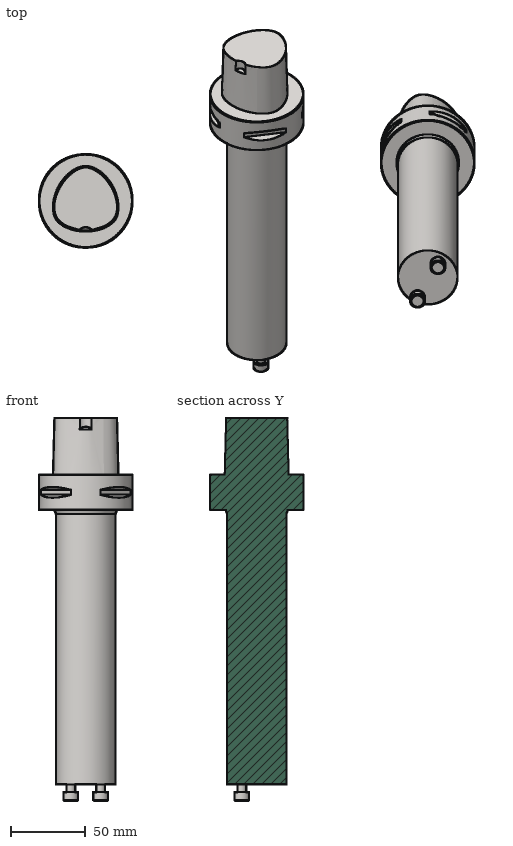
import cadquery as cq
import math

TOTAL_LENGTH = 257.0
TAPER_LENGTH = 38.0
PIN_LENGTH = 11.2

LOBE_BASE_DIAMETER = 44.0
LOBE_TAPER = 1 / 20
LOBE_ECCENTRICITY = 1.4
LOBE_COUNT = 3
LOBE_PITCH = 360 / LOBE_COUNT
FIRST_SIDE_DIRECTION = 30.0
FLAT_HALF_ANGLE = 23.8
CURVE_STEPS = 8

NOTCH_RADIUS = 5.0
NOTCH_AXIS_Y = -22.6
NOTCH_INNER_DEPTH = 6.0
NOTCH_FLOOR_ANGLE = 40.0

FLANGE_DIAMETER = 63.0
FLANGE_HEIGHT = 24.0
FLANGE_CHAMFER = 0.5

SLOT_COUNT = 4
SLOT_FIRST_ANGLE = 45.0
SLOT_CENTER_Z = -12.0
SLOT_DEPTH = 3.4
SLOT_FLOOR_HEIGHT = 3.2
SLOT_FLANK_ANGLE = 31.0

BODY_DIAMETER = 40.0
COLLAR_DIAMETER = 42.0
COLLAR_HEIGHT = 2.6

PIN_DIAMETER = 6.0
PIN_HEAD_DIAMETER = 10.0
PIN_HEAD_HEIGHT = 6.0
PIN_HEAD_CHAMFER = 0.8
PIN_OFFSET = 10.0

BODY_END_Z = TAPER_LENGTH - TOTAL_LENGTH + PIN_LENGTH


def lobe_point(diameter, direction, z):
    """Point of the constant-width lobe curve whose outward normal has the given direction."""
    angle = math.radians(direction)
    phase = LOBE_COUNT * (angle - math.radians(FIRST_SIDE_DIRECTION))
    support = diameter / 2 - LOBE_ECCENTRICITY * math.cos(phase)
    slope = LOBE_COUNT * LOBE_ECCENTRICITY * math.sin(phase)
    x = support * math.cos(angle) - slope * math.sin(angle)
    y = support * math.sin(angle) + slope * math.cos(angle)
    return cq.Vector(x, y, z)


def lobe_edge(diameter, start, end, z):
    """Smooth curve of the lobe outline between two normal directions."""
    step = (end - start) / CURVE_STEPS
    points = [lobe_point(diameter, start + i * step, z) for i in range(CURVE_STEPS + 1)]
    tangents = []
    for direction in (start, end):
        angle = math.radians(direction)
        tangents.append(cq.Vector(-math.sin(angle), math.cos(angle), 0))
    return cq.Edge.makeSpline(points, tangents=tangents)


def lobe_wire(diameter, z):
    """Closed lobe outline, alternating flat sides and rounded lobes."""
    edges = []
    for i in range(LOBE_COUNT):
        side = FIRST_SIDE_DIRECTION + i * LOBE_PITCH
        side_start = side - FLAT_HALF_ANGLE
        side_end = side + FLAT_HALF_ANGLE
        next_side_start = side_start + LOBE_PITCH
        edges.append(lobe_edge(diameter, side_start, side_end, z))
        edges.append(lobe_edge(diameter, side_end, next_side_start, z))
    return cq.Wire.assembleEdges(edges)


def make_taper():
    top_diameter = LOBE_BASE_DIAMETER - LOBE_TAPER * TAPER_LENGTH
    base = lobe_wire(LOBE_BASE_DIAMETER, 0)
    top = lobe_wire(top_diameter, TAPER_LENGTH)
    return cq.Workplane(cq.Solid.makeLoft([base, top], True))


def make_notch():
    """Upright round cutter, standing partly outside the -Y side, with a floor that falls outward."""
    inner_y = NOTCH_AXIS_Y + NOTCH_RADIUS
    outer_y = NOTCH_AXIS_Y - NOTCH_RADIUS
    inner_z = TAPER_LENGTH - NOTCH_INNER_DEPTH
    floor_fall = 2 * NOTCH_RADIUS * math.tan(math.radians(NOTCH_FLOOR_ANGLE))
    outer_z = inner_z - floor_fall
    profile = (
        cq.Workplane("YZ")
        .moveTo(inner_y, TAPER_LENGTH)
        .lineTo(inner_y, inner_z)
        .lineTo(outer_y, outer_z)
        .lineTo(outer_y, TAPER_LENGTH)
        .close()
        .extrude(NOTCH_RADIUS, both=True)
    )
    round_wall = (
        cq.Workplane("XY", origin=(0, NOTCH_AXIS_Y, outer_z))
        .circle(NOTCH_RADIUS)
        .extrude(TAPER_LENGTH - outer_z)
    )
    return profile.intersect(round_wall)


def make_flange():
    return (
        cq.Workplane("XY")
        .circle(FLANGE_DIAMETER / 2)
        .extrude(-FLANGE_HEIGHT)
        .edges()
        .chamfer(FLANGE_CHAMFER)
    )


def make_slot(angle):
    """Straight cutter with sloped flanks, cutting a flat floor across the flange rim."""
    rim = FLANGE_DIAMETER / 2
    floor = rim - SLOT_DEPTH
    floor_half = SLOT_FLOOR_HEIGHT / 2
    mouth_half = floor_half + SLOT_DEPTH * math.tan(math.radians(SLOT_FLANK_ANGLE))
    return (
        cq.Workplane("XZ")
        .moveTo(floor, SLOT_CENTER_Z - floor_half)
        .lineTo(rim, SLOT_CENTER_Z - mouth_half)
        .lineTo(rim, SLOT_CENTER_Z + mouth_half)
        .lineTo(floor, SLOT_CENTER_Z + floor_half)
        .close()
        .extrude(rim, both=True)
        .rotate((0, 0, 0), (0, 0, 1), angle)
    )


def make_body():
    """Round body with a collar that narrows from the flange down to the body."""
    body_radius = BODY_DIAMETER / 2
    return (
        cq.Workplane("XZ")
        .moveTo(0, -FLANGE_HEIGHT)
        .lineTo(COLLAR_DIAMETER / 2, -FLANGE_HEIGHT)
        .lineTo(body_radius, -FLANGE_HEIGHT - COLLAR_HEIGHT)
        .lineTo(body_radius, BODY_END_Z)
        .lineTo(0, BODY_END_Z)
        .close()
        .revolve(360, (0, 0, 0), (0, 1, 0))
    )


def make_pin(x, y):
    stem = (
        cq.Workplane("XY")
        .circle(PIN_DIAMETER / 2)
        .extrude(PIN_HEAD_HEIGHT - PIN_LENGTH)
    )
    head = (
        cq.Workplane("XY", origin=(0, 0, PIN_HEAD_HEIGHT - PIN_LENGTH))
        .circle(PIN_HEAD_DIAMETER / 2)
        .extrude(-PIN_HEAD_HEIGHT)
        .faces("<Z")
        .chamfer(PIN_HEAD_CHAMFER)
    )
    return stem.union(head).translate((x, y, BODY_END_Z))


flange = make_flange()
for i in range(SLOT_COUNT):
    flange = flange.cut(make_slot(SLOT_FIRST_ANGLE + i * 360 / SLOT_COUNT))

taper = make_taper().cut(make_notch())
result = flange.union(taper).union(make_body())

for sign in (-1, 1):
    result = result.union(make_pin(sign * PIN_OFFSET, -sign * PIN_OFFSET))